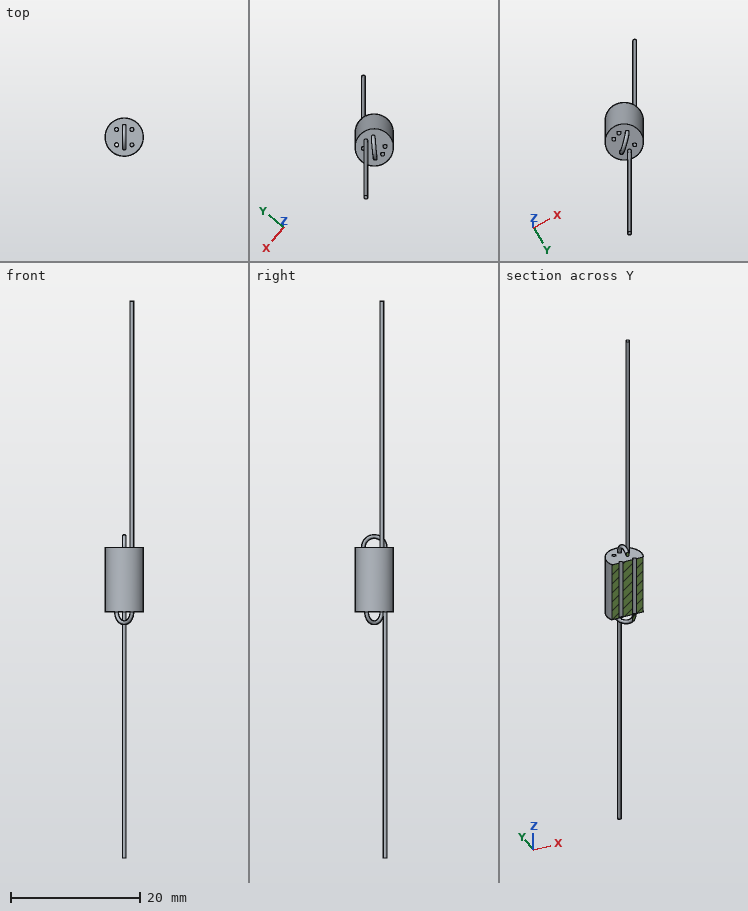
import cadquery as cq
import math

core_diameter = 5.95
core_length = 10.0
total_length = 86.2
wire_diameter = 0.6
hole_circle_diameter = 3.4
corner_angle = 45

core_top = core_length / 2
core_bottom = -core_top
lead_length = (total_length - core_length) / 2
wire_radius = wire_diameter / 2
hole_circle_radius = hole_circle_diameter / 2
corner_offset = hole_circle_radius * math.cos(math.radians(corner_angle))

corner_holes = [(sx * corner_offset, sy * corner_offset) for sx in (-1, 1) for sy in (-1, 1)]
middle_holes = [(0, -hole_circle_radius), (0, hole_circle_radius)]
upper_lead_position = (corner_offset, corner_offset)
lower_lead_position = (0, hole_circle_radius)


def make_core():
    """Cylinder with six wire holes right through it."""
    return (
        cq.Workplane("XY", origin=(0, 0, core_bottom))
        .circle(core_diameter / 2)
        .pushPoints(corner_holes + middle_holes)
        .circle(wire_radius)
        .extrude(core_length)
    )


def make_lead(position, bottom):
    """Straight vertical wire that starts at the given height."""
    x, y = position
    return cq.Workplane("XY", origin=(x, y, bottom)).circle(wire_radius).extrude(lead_length)


def make_upright_loop():
    """Half ring of wire standing on the top face of the core, in the YZ plane."""
    return (
        cq.Workplane("XY", origin=(0, -hole_circle_radius, core_top))
        .circle(wire_radius)
        .revolve(180, (0.9, hole_circle_radius, 0), (0, hole_circle_radius, 0))
    )


def make_lower_loop():
    """Half ring of wire hanging from the bottom face, set on a diagonal of the corner holes."""
    hanging_loop = make_upright_loop().rotate((0, 0, 0), (1, 0, 0), 180)
    return hanging_loop.rotate((0, 0, 0), (0, 0, 1), corner_angle)


core = make_core()
leads = [
    make_lead(upper_lead_position, core_top),
    make_lead(lower_lead_position, core_bottom - lead_length),
]
upper_loop = make_upright_loop()
lower_loop = make_lower_loop()

result = cq.Compound.makeCompound(
    [core.val(), *[lead.val() for lead in leads], upper_loop.val(), lower_loop.val()]
)